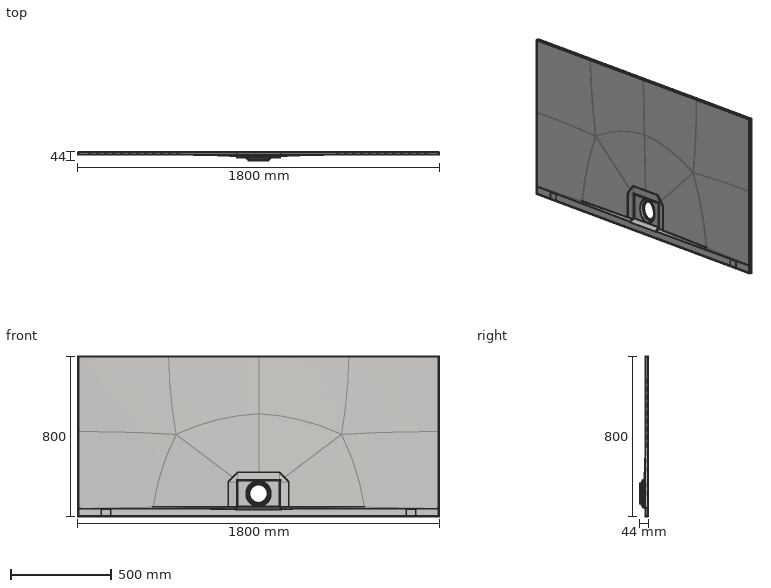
import cadquery as cq

WIDTH = 1800.0
HEIGHT = 800.0
DEPTH = 44.0
SHEET = 4.0
RIM_DEPTH = 15.0
RIM_WALL = 4.0
EDGE_CHAMFER = 3.0
OVERLAP = 2.0

STRIP_HEIGHT = 37.0
DISH_MARGIN = 3.0
BORDER_SINK = 0.5
NODE_SINK = 8.0
CROWN_SINK = 8.0
RIDGE_SINK = 7.0
CENTRE_SINK = 15.5
LOW_WALL_RUN = 5.0
LOW_WALL_CENTRE_RUN = 12.0
SIDE_SEAM_Z = 25.0
TOP_SEAM_X = 449.0
NODE_X = 412.0
NODE_Z = 11.0
CROWN_Z = 114.0
RIDGE_FOOT_X = 526.0

UPPER_SEAM_BOW = (7.0, -3.0)
OUTER_SEAM_BOW = (0.0, 4.0)
CROWN_BOW = (10.0, 19.0)
RIDGE_BOW = (14.0, 6.0)

DRAIN_Z = -285.0
BOX_HALF_WIDTH = 108.0
BOX_TOP_Z = -218.0
BOX_DEPTH = 30.0
BOX_DRAFT = 5.0
BOX_LOW_DRAFT = 16.0
PAD_HALF_WIDTH = 150.0
PAD_TOP_Z = -178.0
PAD_CORNER = 47.0
PAD_INNER_CORNER = 6.0
PAD_BASE_DEPTH = 19.5
PAD_DEPTH = 22.0
OUTLET_RADIUS = 51.0
CONE_RADIUS = 62.0
CONE_END_DEPTH = 38.0
HOLE_RADIUS = 45.0

RECESS_WIDTH = 49.0
RECESS_CENTRE_X = 759.5
RECESS_DEPTH = 1.0

HALF_WIDTH = WIDTH / 2
HALF_HEIGHT = HEIGHT / 2
STRIP_TOP_Z = -HALF_HEIGHT + STRIP_HEIGHT
BOX_BOTTOM_Z = STRIP_TOP_Z + LOW_WALL_CENTRE_RUN


def underside_point(x, z, sink):
    """Point on the underside, sunk below the flat part of the sheet."""
    return cq.Vector(x, -SHEET - sink, z)


def make_rimmed_sheet():
    """Flat sheet with its edge turned down all around."""
    block = cq.Workplane("XY").box(WIDTH, RIM_DEPTH, HEIGHT).translate((0, -RIM_DEPTH / 2, 0))
    block = block.faces(">Y").edges().chamfer(EDGE_CHAMFER)
    hollow = cq.Workplane("XY").box(WIDTH - 2 * RIM_WALL, RIM_DEPTH, HEIGHT - 2 * RIM_WALL)
    return block.cut(hollow.translate((0, -SHEET - RIM_DEPTH / 2, 0)))


def make_half_dish(side):
    """Solid under the dished floor on one side of the centre plane; side is -1 or 1."""
    outer_x = side * (HALF_WIDTH - DISH_MARGIN)
    top_z = HALF_HEIGHT - DISH_MARGIN
    low_side_z = STRIP_TOP_Z + LOW_WALL_RUN
    box_x = side * BOX_HALF_WIDTH

    top_corner = underside_point(outer_x, top_z, BORDER_SINK)
    top_seam = underside_point(side * TOP_SEAM_X, top_z, BORDER_SINK)
    top_centre = underside_point(0, top_z, BORDER_SINK)
    side_seam = underside_point(outer_x, SIDE_SEAM_Z, BORDER_SINK)
    low_corner = underside_point(outer_x, low_side_z, BORDER_SINK)
    node = underside_point(side * NODE_X, NODE_Z, NODE_SINK)
    crown = underside_point(0, CROWN_Z, CROWN_SINK)
    ridge_foot = underside_point(side * RIDGE_FOOT_X, BOX_BOTTOM_Z, RIDGE_SINK)
    box_corner = underside_point(box_x, BOX_TOP_Z, CENTRE_SINK)
    box_top = underside_point(0, BOX_TOP_Z, CENTRE_SINK)
    box_foot = underside_point(box_x, BOX_BOTTOM_Z, CENTRE_SINK)
    low_centre = underside_point(0, BOX_BOTTOM_Z, CENTRE_SINK)

    def straight(start, end):
        return cq.Edge.makeLine(start, end)

    def bowed(start, end, bow):
        """Arc whose middle is shifted from the chord, outward from the centre plane and up."""
        middle = (start + end) * 0.5 + cq.Vector(side * bow[0], 0, bow[1])
        return cq.Edge.makeThreePointArc(start, middle, end)

    upper_seam = bowed(top_seam, node, UPPER_SEAM_BOW)
    outer_seam = bowed(side_seam, node, OUTER_SEAM_BOW)
    crown_curve = bowed(node, crown, CROWN_BOW)
    ridge_curve = bowed(node, ridge_foot, RIDGE_BOW)
    upper_centre = straight(top_centre, crown)
    mid_centre = straight(crown, box_top)
    ray = straight(node, box_corner)
    box_edge_top = straight(box_corner, box_top)
    box_edge_side = straight(box_corner, box_foot)
    foot_edges = [
        straight(low_corner, ridge_foot),
        straight(ridge_foot, box_foot),
        straight(box_foot, low_centre),
    ]
    side_edges = [straight(top_corner, side_seam), straight(side_seam, low_corner)]
    top_edges = [straight(top_corner, top_seam), straight(top_seam, top_centre)]
    low_centre_edge = straight(box_top, low_centre)

    patches = [
        [top_edges[0], upper_seam, outer_seam, side_edges[0]],
        [top_edges[1], upper_centre, crown_curve, upper_seam],
        [side_edges[1], outer_seam, ridge_curve, foot_edges[0]],
        [crown_curve, mid_centre, box_edge_top, ray],
        [ray, box_edge_side, foot_edges[1], ridge_curve],
        [box_edge_top, low_centre_edge, foot_edges[2], box_edge_side],
    ]
    faces = [cq.Face.makeNSidedSurface(edges, []) for edges in patches]

    base_top_corner = underside_point(outer_x, top_z, -OVERLAP)
    base_top_centre = underside_point(0, top_z, -OVERLAP)
    base_low_corner = underside_point(outer_x, STRIP_TOP_Z, -OVERLAP)
    base_low_centre = underside_point(0, STRIP_TOP_Z, -OVERLAP)
    top_base = straight(base_top_corner, base_top_centre)
    side_base = straight(base_top_corner, base_low_corner)
    low_base = straight(base_low_corner, base_low_centre)
    centre_base = straight(base_top_centre, base_low_centre)
    top_post = straight(base_top_corner, top_corner)
    top_centre_post = straight(base_top_centre, top_centre)
    low_post = straight(base_low_corner, low_corner)
    low_centre_post = straight(base_low_centre, low_centre)

    def flat(edges):
        return cq.Face.makeFromWires(cq.Wire.assembleEdges(edges))

    faces.append(flat([top_base, centre_base, low_base, side_base]))
    faces.append(flat([top_post, *top_edges, top_centre_post, top_base]))
    faces.append(flat([top_post, *side_edges, low_post, side_base]))
    centre_edges = [upper_centre, mid_centre, low_centre_edge]
    faces.append(flat([top_centre_post, *centre_edges, low_centre_post, centre_base]))
    low_wall_edges = [low_post, *foot_edges, low_centre_post, low_base]
    faces.append(cq.Face.makeNSidedSurface(low_wall_edges, []))
    solid = cq.Solid.makeSolid(cq.Shell.makeShell(faces))
    return cq.Workplane(solid.fix())


def pad_outline(depth, half_width, top_z, corner):
    """Closed outline at a given depth with its two upper corners cut off."""
    points = [
        (-half_width, BOX_BOTTOM_Z),
        (-half_width, top_z - corner),
        (-half_width + corner, top_z),
        (half_width - corner, top_z),
        (half_width, top_z - corner),
        (half_width, BOX_BOTTOM_Z),
    ]
    return cq.Workplane("XZ", origin=(0, -depth, 0)).polyline(points).close().wires().val()


def make_drain_pad():
    """Sloping surround of the drain box."""
    run = PAD_CORNER - PAD_INNER_CORNER
    low = pad_outline(PAD_BASE_DEPTH, PAD_HALF_WIDTH, PAD_TOP_Z, PAD_CORNER)
    high = pad_outline(PAD_DEPTH, PAD_HALF_WIDTH - run, PAD_TOP_Z - run, PAD_INNER_CORNER)
    backing = cq.Solid.extrudeLinear(low, [], cq.Vector(0, OVERLAP, 0))
    return cq.Workplane(backing).union(cq.Workplane(cq.Solid.makeLoft([low, high], True)))


def make_drain_box(base_depth, end_depth, inset):
    """Block with leaning walls, every wall moved in by the inset."""

    def outline(depth, lean, low_lean):
        half_width = BOX_HALF_WIDTH - inset + lean
        top_z = BOX_TOP_Z - inset + lean
        bottom_z = BOX_BOTTOM_Z + inset - low_lean
        corners = [
            (-half_width, bottom_z),
            (-half_width, top_z),
            (half_width, top_z),
            (half_width, bottom_z),
        ]
        return cq.Workplane("XZ", origin=(0, -depth, 0)).polyline(corners).close().wires().val()

    base = outline(base_depth, BOX_DRAFT, BOX_LOW_DRAFT)
    end = outline(end_depth, 0, 0)
    return cq.Workplane(cq.Solid.makeLoft([base, end], True))


def make_turned_body(points):
    """Turned body on the drain axis from (radius, depth) points."""
    return (
        cq.Workplane("XY", origin=(0, 0, DRAIN_Z))
        .polyline([(radius, -depth) for radius, depth in points])
        .close()
        .revolve(360, (0, 0, 0), (0, 1, 0))
    )


def make_outlet():
    """Cone narrowing to a short spigot."""
    start_depth = BOX_DEPTH - OVERLAP
    return make_turned_body([
        (0, start_depth),
        (CONE_RADIUS, start_depth),
        (CONE_RADIUS, BOX_DEPTH),
        (OUTLET_RADIUS, CONE_END_DEPTH),
        (OUTLET_RADIUS, DEPTH),
        (0, DEPTH),
    ])


def make_outlet_bore():
    """Tapered mouth inside the cone, then the straight drain hole."""
    mouth_depth = BOX_DEPTH - SHEET
    return make_turned_body([
        (0, mouth_depth - OVERLAP),
        (CONE_RADIUS - SHEET, mouth_depth - OVERLAP),
        (CONE_RADIUS - SHEET, mouth_depth),
        (HOLE_RADIUS, CONE_END_DEPTH),
        (HOLE_RADIUS, DEPTH),
        (0, DEPTH),
    ])


def make_strip_recess(side):
    """Shallow pocket across the lower strip near one end."""
    height = STRIP_HEIGHT - RIM_WALL
    middle_z = -HALF_HEIGHT + RIM_WALL + height / 2
    return (
        cq.Workplane("XZ", origin=(side * RECESS_CENTRE_X, -SHEET, middle_z))
        .rect(RECESS_WIDTH, height)
        .extrude(-RECESS_DEPTH)
    )


dish_halves = [make_half_dish(side) for side in (-1, 1)]
pad = make_drain_pad()

tray = make_rimmed_sheet()
for body in dish_halves + [pad, make_drain_box(SHEET - OVERLAP, BOX_DEPTH, 0), make_outlet()]:
    tray = tray.union(body)

for body in dish_halves + [pad]:
    tray = tray.cut(body.translate((0, SHEET, 0)))
tray = tray.cut(make_drain_box(0, BOX_DEPTH - SHEET, SHEET)).cut(make_outlet_bore())

for side in (-1, 1):
    tray = tray.cut(make_strip_recess(side))
result = cq.Workplane(tray.solids().val())